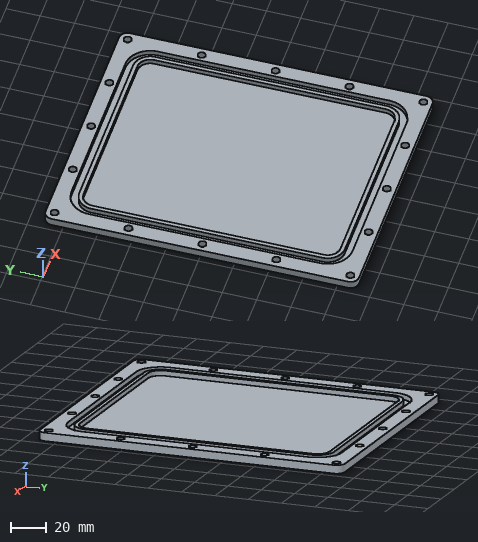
import cadquery as cq

plate_width = 153.0
plate_length = 183.0
plate_thickness = 5.0
plate_corner_radius = 5.0

pocket_width = 120.0
pocket_length = 150.0
pocket_corner_radius = 7.5
pocket_depth = 3.0
rim_thickness = 2.5
groove_width = 4.5
groove_depth = 3.1

hole_diameter = 4.5
hole_edge_distance = 5.2
spaces_per_side = 4


def rounded_block(width, length, corner_radius, bottom_z, height):
    """Rectangular block centred on the Z axis, with rounded vertical corners."""
    return (
        cq.Workplane("XY", origin=(0, 0, bottom_z))
        .rect(width, length)
        .extrude(height)
        .edges("|Z")
        .fillet(corner_radius)
    )


def pocket_block(offset, depth):
    """Block below the top face whose outline is the pocket outline grown by offset."""
    return rounded_block(
        pocket_width + 2 * offset,
        pocket_length + 2 * offset,
        pocket_corner_radius + offset,
        plate_thickness - depth,
        depth,
    )


def bolt_positions():
    """Centres on a rectangle set in from the plate edges, each corner counted once."""
    half_x = plate_width / 2 - hole_edge_distance
    half_y = plate_length / 2 - hole_edge_distance
    pitch_x = 2 * half_x / spaces_per_side
    pitch_y = 2 * half_y / spaces_per_side
    positions = []
    for i in range(spaces_per_side + 1):
        for j in range(spaces_per_side + 1):
            on_edge = i in (0, spaces_per_side) or j in (0, spaces_per_side)
            if on_edge:
                positions.append((-half_x + i * pitch_x, -half_y + j * pitch_y))
    return positions


plate = rounded_block(plate_width, plate_length, plate_corner_radius, 0, plate_thickness)

groove = pocket_block(rim_thickness + groove_width, groove_depth).cut(
    pocket_block(rim_thickness, groove_depth)
)

pocket = pocket_block(0, pocket_depth)

bolt_holes = (
    cq.Workplane("XY")
    .pushPoints(bolt_positions())
    .circle(hole_diameter / 2)
    .extrude(plate_thickness)
)

result = plate.cut(groove).cut(pocket).cut(bolt_holes)